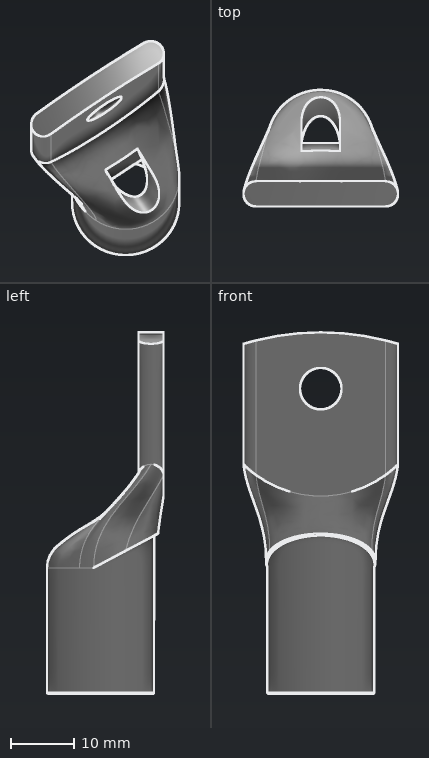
import cadquery as cq
import math


barrel_radius = 17.0 / 2
bore_radius = 13.0 / 2
barrel_top = 20.0
barrel_edge_chamfer = 0.25

total_height = 57.25
palm_width = 24.5
palm_thickness = 4.0
overall_depth = 18.5
palm_front = barrel_radius - overall_depth
palm_rear = palm_front + palm_thickness
palm_middle = palm_front + palm_thickness / 2
palm_edge_radius = palm_thickness / 2
palm_flat_half = palm_width / 2 - palm_edge_radius
palm_tip_radius = 41.8
palm_root = 31.3
palm_root_radius = 17.4
bolt_hole_diameter = 6.5
bolt_hole_height = 48.3

slope_start = 1.1
slope_rise = 0.53
front_overhang = 0.65
front_corner = -3.7
rear_corner = 3.3
neck_fullness = 1.4
patch_steps = 16
min_degree = 3
max_degree = 8
fit_tolerance = 0.001
sew_tolerance = 0.02
union_tolerance = 0.01

window_width = 6.1
window_sill = 23.0
window_head_outer = (-1.25, 28.7)
window_head_inner = (0.0, 25.75)
roof_start = 4.3
roof_slope = 0.6


def lerp(start, end, fraction):
    return start + (end - start) * fraction


def front_share(angle):
    """Grows from 0 where the rim starts to rise to 1 at the very front of the barrel."""
    start = slope_start / barrel_radius
    forward = max(0.0, start - math.sin(angle)) / (1 + start)
    return forward * (2 - forward)


def barrel_rim(angle):
    """Point of the neck's lower rim; the angle is measured from +X."""
    radius = barrel_radius + front_overhang * front_share(angle)
    y = radius * math.sin(angle)
    z = barrel_top + slope_rise * max(0.0, slope_start - y)
    return cq.Vector(radius * math.cos(angle), y, z)


def palm_rim(x, y):
    """Point of the neck's upper rim, where the palm is cut by a cylinder along Y."""
    return cq.Vector(x, y, palm_root + palm_root_radius - math.sqrt(palm_root_radius**2 - x**2))


def palm_flat(y, x_start, x_end):
    return lambda s: palm_rim(lerp(x_start, x_end, s), y)


def palm_edge(start, end, side):
    """Rounded palm edge on the +X (side 1) or -X (side -1) side."""

    def point(s):
        angle = math.radians(lerp(start, end, s))
        x = palm_flat_half + palm_edge_radius * math.cos(angle)
        return palm_rim(side * x, palm_middle + palm_edge_radius * math.sin(angle))

    return point


def neck_patch(angle_start, angle_end, upper):
    """Surface from rim to rim: its rear rises along Z before drifting, its front runs straight."""
    rows = []
    for i in range(patch_steps + 1):
        s = i / patch_steps
        angle = lerp(angle_start, angle_end, s)
        low = barrel_rim(angle)
        span = upper(s) - low
        row = []
        for j in range(patch_steps + 1):
            t = j / patch_steps
            late_drift = 2 * t**2 - t**3
            drift = lerp(late_drift, t, front_share(angle))
            spread = (late_drift + 3 * t**2 - 2 * t**3) / 2
            climb = late_drift + neck_fullness * t * (1 - t) ** 2
            row.append(low + cq.Vector(span.x * spread, span.y * drift, span.z * climb))
        rows.append(row)
    return cq.Face.makeSplineApprox(rows, tol=fit_tolerance, minDeg=min_degree, maxDeg=max_degree)


def rim_edge(patch, position):
    """Lowest (position 0) or highest (position -1) edge of a neck patch."""
    return sorted(patch.Edges(), key=lambda edge: edge.Center().z)[position]


def make_neck():
    front = math.asin(front_corner / barrel_radius)
    middle = math.asin(slope_start / barrel_radius)
    rear = math.asin(rear_corner / barrel_radius)
    patches = [
        neck_patch(-math.pi - front, front, palm_flat(palm_front, -palm_flat_half, palm_flat_half)),
        neck_patch(front, middle, palm_edge(-90, 0, 1)),
        neck_patch(middle, rear, palm_edge(0, 90, 1)),
        neck_patch(rear, math.pi - rear, palm_flat(palm_rear, palm_flat_half, -palm_flat_half)),
        neck_patch(math.pi - rear, math.pi - middle, palm_edge(90, 0, -1)),
        neck_patch(math.pi - middle, math.pi - front, palm_edge(0, -90, -1)),
    ]
    lower_rim = [rim_edge(patch, 0) for patch in patches]
    upper_rim = [rim_edge(patch, -1) for patch in patches]
    left = cq.Vector(-barrel_radius * math.cos(middle), slope_start, barrel_top)
    right = cq.Vector(barrel_radius * math.cos(middle), slope_start, barrel_top)
    divide = cq.Edge.makeLine(left, right)
    cap_peak = cq.Vector(0, palm_middle, palm_root + palm_thickness)
    caps = [
        cq.Face.makeNSidedSurface(lower_rim[:2] + lower_rim[5:] + [divide], []),
        cq.Face.makeNSidedSurface(lower_rim[2:5] + [divide], []),
        cq.Face.makeNSidedSurface(upper_rim, [cap_peak]),
    ]
    faces = patches + caps
    skin = cq.occ_impl.shapes.shell(*faces, tol=sew_tolerance)
    return cq.Workplane(cq.Solid.makeSolid(skin))


def side_prism(points, width):
    """Prism along X, centred on X = 0, from (y, z) points."""
    return cq.Workplane("YZ").polyline(points).close().extrude(width / 2, both=True)


def make_barrel():
    crest = barrel_top + slope_rise * (slope_start + barrel_radius)
    profile = [
        (-barrel_radius, 0),
        (barrel_radius, 0),
        (barrel_radius, barrel_top),
        (slope_start, barrel_top),
        (-barrel_radius, crest),
    ]
    cylinder = cq.Workplane("XY").circle(barrel_radius).extrude(total_height)
    cylinder = cylinder.faces("<Z").chamfer(barrel_edge_chamfer)
    return cylinder.intersect(side_prism(profile, 2 * palm_width))


def make_palm():
    half = palm_width / 2
    tip_drop = palm_tip_radius - math.sqrt(palm_tip_radius**2 - half**2)
    root_climb = palm_root_radius - math.sqrt(palm_root_radius**2 - half**2)
    outline = (
        cq.Workplane("XZ")
        .moveTo(-half, palm_root + root_climb)
        .threePointArc((0, palm_root), (half, palm_root + root_climb))
        .lineTo(half, total_height - tip_drop)
        .threePointArc((0, total_height), (-half, total_height - tip_drop))
        .close()
        .extrude(palm_width, both=True)
    )
    bar = cq.Workplane("XY").center(0, palm_middle).slot2D(palm_width, palm_thickness).extrude(total_height)
    hole = cq.Workplane("XZ").center(0, bolt_hole_height).circle(bolt_hole_diameter / 2)
    return bar.intersect(outline).cut(hole.extrude(palm_width, both=True))


def make_bore():
    def roof(y):
        return window_sill + roof_slope * (roof_start - y)

    profile = [
        (-barrel_radius, 0),
        (barrel_radius, 0),
        (barrel_radius, roof(barrel_radius)),
        (-barrel_radius, roof(-barrel_radius)),
    ]
    cylinder = cq.Workplane("XY").circle(bore_radius).extrude(total_height)
    return cylinder.intersect(side_prism(profile, 2 * palm_width))


def make_window():
    """Opening through the rear slope: round sill along Y, leaning flat head."""
    radius = window_width / 2
    opening = (
        cq.Workplane("XZ")
        .moveTo(-radius, total_height)
        .lineTo(-radius, window_sill + radius)
        .threePointArc((0, window_sill), (radius, window_sill + radius))
        .lineTo(radius, total_height)
        .close()
        .extrude(palm_width, both=True)
    )
    outer_y, outer_z = window_head_outer
    inner_y, inner_z = window_head_inner
    lean = (outer_y - inner_y) / (outer_z - inner_z)
    reach = [
        (inner_y + lean * (barrel_top - inner_z), barrel_top),
        (inner_y + lean * (palm_root - inner_z), palm_root),
        (barrel_radius, palm_root),
        (barrel_radius, barrel_top),
    ]
    return opening.intersect(side_prism(reach, window_width))


body = make_palm().union(make_neck(), tol=union_tolerance).union(make_barrel(), tol=union_tolerance)
result = body.cut(make_bore()).cut(make_window())